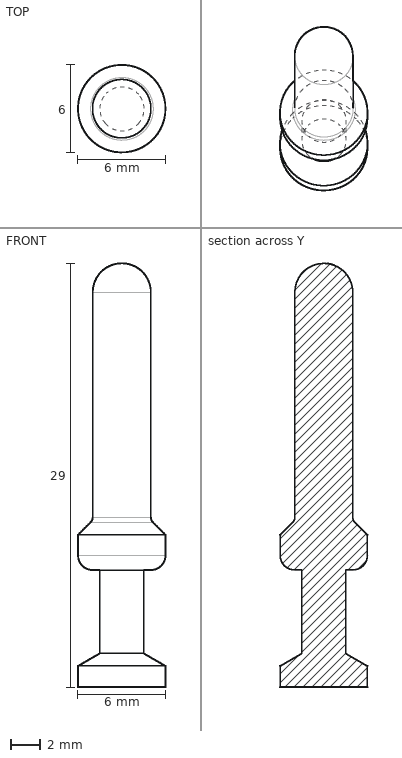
import cadquery as cq
import math

total_height = 29.0
flange_radius = 3.002

foot_height = 1.45
foot_cone_angle = math.radians(30)
neck_radius = 1.5
foot_cone_top = foot_height + (flange_radius - neck_radius) * math.tan(foot_cone_angle)

collar_bottom = 8.0
collar_round = 1.02
collar_cone_bottom = 10.4

pin_radius = 2.0
tip_start = total_height - pin_radius
tip_mid = pin_radius * math.sqrt(0.5)

blend_radius = 0.5
cone_meets_pin = collar_cone_bottom + flange_radius - pin_radius
blend_top = cone_meets_pin + blend_radius * math.tan(math.radians(22.5))
blend_bottom = blend_top - blend_radius * math.sqrt(0.5)
blend_bottom_radius = pin_radius + blend_radius * (1 - math.sqrt(0.5))

profile = (
    cq.Workplane("XZ")
    .lineTo(flange_radius, 0)
    .lineTo(flange_radius, foot_height)
    .lineTo(neck_radius, foot_cone_top)
    .lineTo(neck_radius, collar_bottom)
    .lineTo(flange_radius - collar_round, collar_bottom)
    .radiusArc((flange_radius, collar_bottom + collar_round), -collar_round)
    .lineTo(flange_radius, collar_cone_bottom)
    .lineTo(blend_bottom_radius, blend_bottom)
    .radiusArc((pin_radius, blend_top), blend_radius)
    .lineTo(pin_radius, tip_start)
    .threePointArc((tip_mid, tip_start + tip_mid), (0, total_height))
    .close()
)

result = profile.revolve(360, (0, 0, 0), (0, 1, 0))